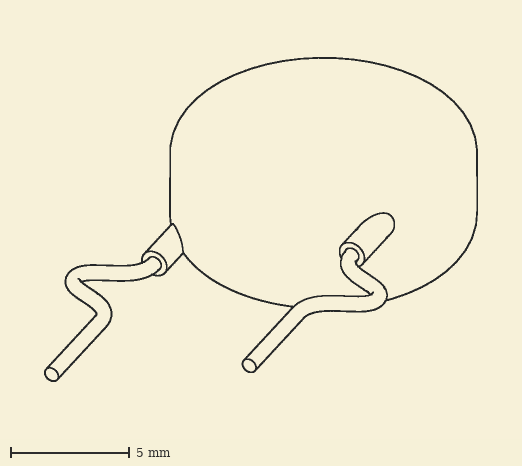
import cadquery as cq


DISC_DIAMETER = 13.0
DISC_HEIGHT = 5.0
DISC_EDGE_RADIUS = 1.0

LEAD_OFFSET_X = 4.7
LEAD_OFFSET_Z = 1.66

SLEEVE_DIAMETER = 1.2
SLEEVE_END_Y = -DISC_DIAMETER / 2

TOTAL_LENGTH = 22.5
TOTAL_WIDTH = 15.08
LEAD_DIAMETER = 0.65
KINK_LENGTH = 5.0
ROOT_HANDLE = 1.7
APEX_HANDLE = 1.12
KINK_APEX_X = (TOTAL_WIDTH - LEAD_DIAMETER) / 2
LEAD_END_Y = DISC_DIAMETER / 2 - TOTAL_LENGTH

SIDES = (-1, 1)


def make_sleeve(side):
    """Solid stub reaching from inside the disc to the plane where the lead starts."""
    return (
        cq.Workplane("XZ", origin=(side * LEAD_OFFSET_X, 0, side * LEAD_OFFSET_Z))
        .circle(SLEEVE_DIAMETER / 2)
        .extrude(-SLEEVE_END_Y)
    )


def make_body():
    """Round-edged disc with both sleeves, which are part of the same coating."""
    body = (
        cq.Workplane("XY", origin=(0, 0, -DISC_HEIGHT / 2))
        .circle(DISC_DIAMETER / 2)
        .extrude(DISC_HEIGHT)
        .faces("|Z")
        .edges()
        .fillet(DISC_EDGE_RADIUS)
    )
    for side in SIDES:
        body = body.union(make_sleeve(side))
    return body


def make_lead(side):
    """Round wire: an outward kink made of two S-curves, then a straight tail."""
    root_x = side * LEAD_OFFSET_X
    apex_x = side * KINK_APEX_X
    apex_y = SLEEVE_END_Y - KINK_LENGTH / 2
    tail_y = SLEEVE_END_Y - KINK_LENGTH
    height = side * LEAD_OFFSET_Z

    outward_curve = [
        (root_x, SLEEVE_END_Y),
        (root_x, SLEEVE_END_Y - ROOT_HANDLE),
        (apex_x, apex_y + APEX_HANDLE),
        (apex_x, apex_y),
    ]
    return_curve = [
        (apex_x, apex_y),
        (apex_x, apex_y - APEX_HANDLE),
        (root_x, tail_y + ROOT_HANDLE),
        (root_x, tail_y),
    ]
    path = (
        cq.Workplane("XY", origin=(0, 0, height))
        .bezier(outward_curve)
        .bezier(return_curve)
        .lineTo(root_x, LEAD_END_Y)
        .wire()
    )
    return (
        cq.Workplane("XZ", origin=(root_x, SLEEVE_END_Y, height))
        .circle(LEAD_DIAMETER / 2)
        .sweep(path)
    )


body = make_body()
leads = [make_lead(side) for side in SIDES]

result = cq.Compound.makeCompound([body.val(), *[lead.val() for lead in leads]])